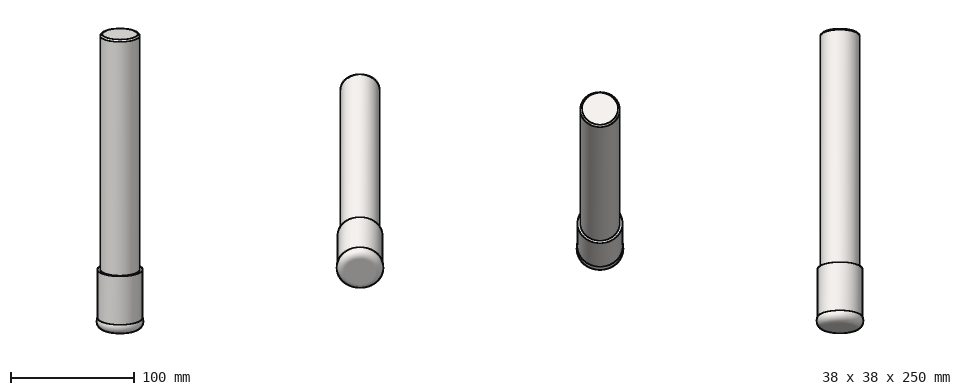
import cadquery as cq
import math

total_length = 250.0
rod_radius = 16.0
rod_chamfer = 1.5

cap_height = 50.0
cap_radius = 18.2
bead_radius = 19.0
bead_round = 6.0
socket_floor = bead_round

cap_bottom = -total_length / 2
cap_top = cap_bottom + cap_height
rod_bottom = cap_bottom + socket_floor
rod_length = total_length - socket_floor


def make_rod():
    """Round rod with a chamfered upper end, standing in the cap socket."""
    rod = cq.Workplane("XY").workplane(offset=rod_bottom).circle(rod_radius).extrude(rod_length)
    return rod.faces(">Z").chamfer(rod_chamfer)


def make_cap():
    """End cap with a bulging rounded foot and a blind socket for the rod."""
    round_center_x = bead_radius - bead_round
    round_center_z = cap_bottom + bead_round
    bead_top = round_center_z + math.sqrt(bead_round**2 - (cap_radius - round_center_x) ** 2)
    body = (
        cq.Workplane("XZ")
        .moveTo(0, cap_top)
        .lineTo(cap_radius, cap_top)
        .lineTo(cap_radius, bead_top)
        .radiusArc((bead_radius, round_center_z), bead_round)
        .radiusArc((round_center_x, cap_bottom), bead_round)
        .lineTo(0, cap_bottom)
        .close()
        .revolve(360, (0, 0, 0), (0, 1, 0))
    )
    socket_depth = cap_height - socket_floor
    socket = cq.Workplane("XY").workplane(offset=rod_bottom).circle(rod_radius).extrude(socket_depth)
    return body.cut(socket)


rod = make_rod()
cap = make_cap()

result = cq.Compound.makeCompound([rod.val(), cap.val()])